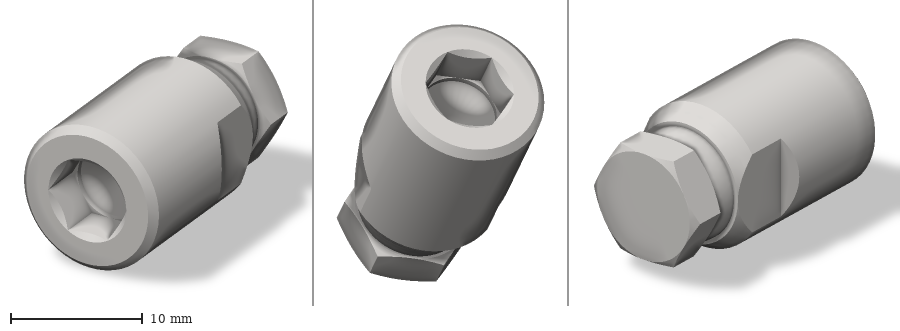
import cadquery as cq
import math

HEX_HALF_ANGLE = math.radians(30)

housing_length = 16.0
housing_diameter = 12.0
front_chamfer = 0.6
shoulder_diameter = 10.0
shoulder_angle = math.radians(30)

flat_width = 10.0
flat_length = 5.2
flat_runout_angle = math.radians(45)

socket_across_flats = 6.0
socket_depth = 3.5
socket_lead_in_angle = math.radians(45)
drill_extra_depth = 0.5
drill_point_angle = math.radians(120)

ball_radius = 4.625
ball_center_height = 0.2
neck_length = 1.95
head_across_flats = 9.0
head_length = 3.25
head_chamfer_angle = math.radians(30)

housing_radius = housing_diameter / 2
shoulder_radius = shoulder_diameter / 2
shoulder_length = (housing_radius - shoulder_radius) / math.tan(shoulder_angle)
socket_corner_radius = socket_across_flats / 2 / math.cos(HEX_HALF_ANGLE)
head_corner_radius = head_across_flats / 2 / math.cos(HEX_HALF_ANGLE)
head_start = housing_length + neck_length
head_end = head_start + head_length


def revolve_about_y(profile):
    """Turn a closed XY profile one full turn about the Y axis."""
    return profile.close().revolve(360, (0, 0, 0), (0, 1, 0))


def hex_prism(corner_radius, start, length):
    """Hexagonal prism along +Y with two opposite corners on the X axis."""
    return (
        cq.Workplane("XZ", origin=(0, start, 0))
        .polygon(6, 2 * corner_radius)
        .extrude(-length)
    )


def housing_blank():
    profile = (
        cq.Workplane("XY")
        .moveTo(0, 0)
        .lineTo(housing_radius - front_chamfer, 0)
        .lineTo(housing_radius, front_chamfer)
        .lineTo(housing_radius, housing_length - shoulder_length)
        .lineTo(shoulder_radius, housing_length)
        .lineTo(0, housing_length)
    )
    return revolve_about_y(profile)


def flat_cutter(side):
    """Material removed for the wrench flat on one X side (side is -1 or +1)."""
    flat_x = flat_width / 2
    flat_start = housing_length - flat_length
    runout = (housing_radius - flat_x) / math.tan(flat_runout_angle)
    return (
        cq.Workplane("XY")
        .moveTo(side * flat_x, housing_length)
        .lineTo(side * flat_x, flat_start)
        .lineTo(side * housing_radius, flat_start - runout)
        .lineTo(side * housing_radius, housing_length)
        .close()
        .extrude(housing_radius, both=True)
    )


def socket_cutter():
    """Hexagon socket with a conical lead-in, ending in a round bore and drill point."""
    inner_radius = socket_across_flats / 2
    lead_in_depth = socket_corner_radius / math.tan(socket_lead_in_angle)
    lead_in = revolve_about_y(
        cq.Workplane("XY")
        .moveTo(0, 0)
        .lineTo(socket_corner_radius, 0)
        .lineTo(0, lead_in_depth)
    )
    bore_end = socket_depth + drill_extra_depth
    drill_point_depth = inner_radius / math.tan(drill_point_angle / 2)
    drill = revolve_about_y(
        cq.Workplane("XY")
        .moveTo(0, 0)
        .lineTo(inner_radius, 0)
        .lineTo(inner_radius, bore_end)
        .lineTo(0, bore_end + drill_point_depth)
    )
    return hex_prism(socket_corner_radius, 0, socket_depth).union(lead_in).union(drill)


def make_housing():
    housing = housing_blank().cut(socket_cutter())
    for side in (-1, 1):
        housing = housing.cut(flat_cutter(side))
    return housing


def ball_neck():
    """Short cylinder on the housing's rear face, then a ball zone up to the head."""
    ball_center = housing_length + ball_center_height

    def ball_radius_at(height):
        return math.sqrt(ball_radius**2 - (height - ball_center) ** 2)

    middle = (ball_center + head_start) / 2
    profile = (
        cq.Workplane("XY")
        .moveTo(0, housing_length)
        .lineTo(ball_radius, housing_length)
        .lineTo(ball_radius, ball_center)
        .threePointArc((ball_radius_at(middle), middle), (ball_radius_at(head_start), head_start))
        .lineTo(0, head_start)
    )
    return revolve_about_y(profile)


def hex_head():
    """Hexagon head with its corners turned down conically at both ends."""
    face_radius = head_across_flats / 2
    chamfer_length = (head_corner_radius - face_radius) * math.tan(head_chamfer_angle)
    envelope = revolve_about_y(
        cq.Workplane("XY")
        .moveTo(0, head_start)
        .lineTo(face_radius, head_start)
        .lineTo(head_corner_radius, head_start + chamfer_length)
        .lineTo(head_corner_radius, head_end - chamfer_length)
        .lineTo(face_radius, head_end)
        .lineTo(0, head_end)
    )
    return hex_prism(head_corner_radius, head_start, head_length).intersect(envelope)


def make_ball_stud():
    return ball_neck().union(hex_head())


housing = make_housing()
ball_stud = make_ball_stud()

result = cq.Compound.makeCompound([housing.val(), ball_stud.val()])